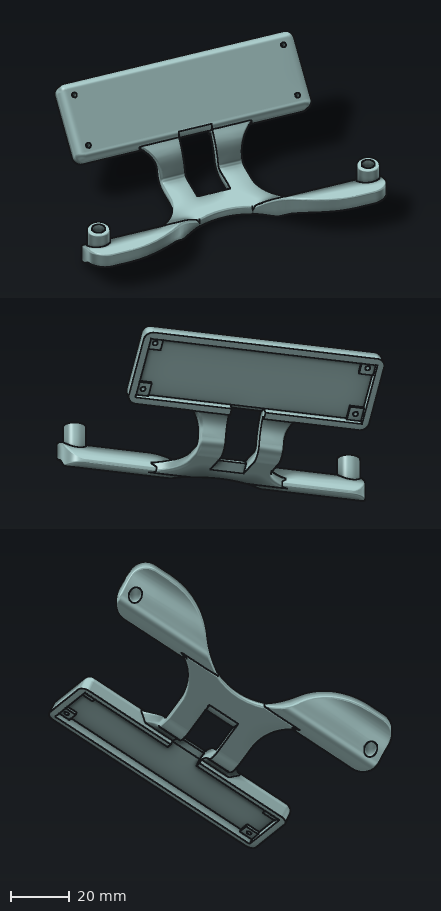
import cadquery as cq
import math

TOTAL_WIDTH = 107.94
TOTAL_LENGTH = 71.83
TOTAL_HEIGHT = 33.78
OVERLAP = 1.0

TRAY_TILT = 40.0
TRAY_LENGTH = 28.0
TRAY_WIDTH = 86.0
TRAY_DEPTH = 7.0
TRAY_ROUND = 3.0
TRAY_WALL = 2.5
CAVITY_DEPTH = 3.0
PAD_SIDE = 5.0
PAD_HEIGHT = 1.0
PIN_HOLE = 1.7

NECK_THICKNESS = 4.0
NECK_WIDTH = 30.0
EDGE_ROUND = 1.0
BEND_X = 32.5
BEND_RADIUS = 2.0
BEND_START = 12.0
RISER_RADIUS = 18.0
RISER_END = 45.0
FLARE_START_Z = 6.2
FLARE_RADIUS = 10.0
PLATE_SLOPE = 2.0
PLATE_STRAIGHT_END = 39.4
PLATE_END = 54.7
PLATE_ARC = 15.8

SLOT_WIDTH = 12.0
SLOT_START = 24.1
SLOT_NOSE_X = 41.4
SLOT_NOSE_Z = 2.9

WING_START = 52.8
WING_ROOT_X = 54.2
WING_ROOT_Y = 22.5
WING_INNER_CORNER = 6.5
WING_OUTER_CORNER = 6.5
WAIST_X = 52.8
WAIST_RADIUS = 25.0
WING_ARC = 30.0
WING_EDGE_ROUND = 0.8
WING_TOP_START = (52.0, 0.95)
WING_TOP_MIDDLE = (59.4, 9.9)
WING_TOP_END = (73.0, 13.85)
WING_BOTTOM_END = (73.0, 8.3)
WING_BOTTOM_KNEE = (60.4, 2.6)
WING_BOTTOM_FLAT_END = 56.6
WING_BOTTOM_Z = 1.0

POST_X = 61.7
POST_Y = 49.0
POST_DIAMETER = 8.0
POST_HOLE = 4.5
POST_TOP = 17.8
POST_BASE = 7.2
POST_RIM_ROUND = 0.5


def polar(center, radius, degrees):
    angle = math.radians(degrees)
    return (center[0] + radius * math.cos(angle), center[1] + radius * math.sin(angle))


tilt = math.radians(TRAY_TILT)
rim_z = (
    TOTAL_HEIGHT
    - TRAY_ROUND
    + TRAY_ROUND * math.sin(tilt)
    - (TRAY_DEPTH - TRAY_ROUND) * math.cos(tilt)
)
TRAY_PLANE = cq.Plane(
    origin=(0, 0, rim_z),
    xDir=(math.cos(tilt), 0, -math.sin(tilt)),
    normal=(math.sin(tilt), 0, math.cos(tilt)),
)


def tray_box(length, width, height, start=0.0, base=0.0):
    plane = cq.Workplane(TRAY_PLANE).workplane(offset=base).center(start + length / 2, 0)
    return plane.rect(length, width).extrude(height)


def nearest_edge(body, point):
    return body.edges(cq.selectors.NearestToPointSelector(point)).val()


def make_tray():
    frame = cq.Workplane("XY").center(TRAY_LENGTH / 2, 0)
    body = frame.rect(TRAY_LENGTH, TRAY_WIDTH).extrude(TRAY_DEPTH)
    body = body.edges("|Z or >Z").fillet(TRAY_ROUND)
    return cq.Workplane(body.val().moved(TRAY_PLANE.location))


def tray_corners():
    near = TRAY_WALL + PAD_SIDE / 2
    side = TRAY_WIDTH / 2 - near
    return [(x, y) for x in (near, TRAY_LENGTH - near) for y in (-side, side)]


def make_cavity():
    cavity = tray_box(
        TRAY_LENGTH - 2 * TRAY_WALL,
        TRAY_WIDTH - 2 * TRAY_WALL,
        CAVITY_DEPTH,
        start=TRAY_WALL,
    )
    pads = (
        cq.Workplane(TRAY_PLANE)
        .workplane(offset=CAVITY_DEPTH - PAD_HEIGHT)
        .pushPoints(tray_corners())
        .rect(PAD_SIDE, PAD_SIDE)
        .extrude(PAD_HEIGHT)
    )
    return cavity.cut(pads)


def make_pin_holes():
    return cq.Workplane(TRAY_PLANE).pushPoints(tray_corners()).circle(PIN_HOLE / 2).extrude(TRAY_DEPTH)


def make_riser():
    outer_bend = BEND_RADIUS + NECK_THICKNESS
    bend = (BEND_X, outer_bend)
    joint = 180 + BEND_START
    foot = 270 + PLATE_SLOPE
    middle = (joint + foot) / 2
    center = polar(bend, outer_bend + RISER_RADIUS, joint)
    outer_riser = RISER_RADIUS + NECK_THICKNESS
    sweep_middle = (BEND_START + RISER_END) / 2
    profile = (
        cq.Workplane("XZ", origin=(0, TRAY_WIDTH / 2, 0))
        .moveTo(*polar(center, RISER_RADIUS, RISER_END))
        .threePointArc(polar(center, RISER_RADIUS, sweep_middle), polar(bend, outer_bend, joint))
        .threePointArc(polar(bend, outer_bend, middle), polar(bend, outer_bend, foot))
        .lineTo(*polar(bend, BEND_RADIUS, foot))
        .threePointArc(polar(bend, BEND_RADIUS, middle), polar(bend, BEND_RADIUS, joint))
        .threePointArc(polar(center, outer_riser, sweep_middle), polar(center, outer_riser, RISER_END))
        .close()
        .extrude(TRAY_WIDTH)
    )
    half = NECK_WIDTH / 2
    flare_top = FLARE_START_Z + FLARE_RADIUS
    flare_half = half + FLARE_RADIUS
    outline = (
        cq.Workplane("YZ")
        .moveTo(-half, -OVERLAP)
        .lineTo(half, -OVERLAP)
        .lineTo(half, FLARE_START_Z)
        .radiusArc((flare_half, flare_top), FLARE_RADIUS)
        .lineTo(flare_half, TOTAL_HEIGHT)
        .lineTo(-flare_half, TOTAL_HEIGHT)
        .lineTo(-flare_half, flare_top)
        .radiusArc((-half, FLARE_START_Z), FLARE_RADIUS)
        .close()
        .extrude(TOTAL_LENGTH)
    )
    riser = profile.intersect(outline)
    edges = []
    for radius in (BEND_RADIUS, outer_bend):
        x, z = polar(bend, radius, middle)
        edges += [nearest_edge(riser, (x, side, z)) for side in (-half, half)]
    return riser.newObject(edges).fillet(EDGE_ROUND)


def waist_y(x):
    return math.sqrt(WAIST_RADIUS**2 - (WAIST_X + WAIST_RADIUS - x) ** 2)


def make_plate():
    bend = (BEND_X, BEND_RADIUS + NECK_THICKNESS)
    foot = 270 + PLATE_SLOPE
    bottom = polar(bend, BEND_RADIUS + NECK_THICKNESS, foot)
    top = polar(bend, BEND_RADIUS, foot)
    rise = math.tan(math.radians(PLATE_SLOPE))
    profile = (
        cq.Workplane("XZ", origin=(0, TRAY_WIDTH / 2, 0))
        .moveTo(*bottom)
        .lineTo(TOTAL_LENGTH, bottom[1] + (TOTAL_LENGTH - bottom[0]) * rise)
        .lineTo(TOTAL_LENGTH, top[1] + (TOTAL_LENGTH - top[0]) * rise)
        .lineTo(*top)
        .close()
        .extrude(TRAY_WIDTH)
    )
    half = NECK_WIDTH / 2
    run = PLATE_END - PLATE_STRAIGHT_END
    tip = half + PLATE_ARC - math.sqrt(PLATE_ARC**2 - run**2)
    notch = waist_y(PLATE_END)
    outline = (
        cq.Workplane("XY", origin=(0, 0, -OVERLAP))
        .moveTo(0, half)
        .lineTo(PLATE_STRAIGHT_END, half)
        .radiusArc((PLATE_END, tip), -PLATE_ARC)
        .lineTo(PLATE_END, notch)
        .threePointArc((WAIST_X, 0), (PLATE_END, -notch))
        .lineTo(PLATE_END, -tip)
        .radiusArc((PLATE_STRAIGHT_END, -half), -PLATE_ARC)
        .lineTo(0, -half)
        .close()
        .extrude(TOTAL_HEIGHT)
    )
    plate = profile.intersect(outline)
    past_bend = cq.selectors.BoxSelector(
        (BEND_X + OVERLAP, -TRAY_WIDTH, -OVERLAP), (TOTAL_LENGTH, TRAY_WIDTH, TOTAL_HEIGHT)
    )
    return plate.edges(past_bend).edges("not |Z").fillet(EDGE_ROUND)


def make_neck():
    return make_riser().union(make_plate())


def make_wing():
    end_y = TOTAL_WIDTH / 2
    outer_arc_x = TOTAL_LENGTH - WING_ARC
    waist_center_x = WAIST_X + WAIST_RADIUS
    gap = waist_center_x - outer_arc_x
    outer_arc_y = math.sqrt((WAIST_RADIUS + WING_ARC) ** 2 - gap**2)
    share = WAIST_RADIUS / (WAIST_RADIUS + WING_ARC)
    touch = (waist_center_x - gap * share, outer_arc_y * share)
    root = (WING_ROOT_X, waist_y(WING_ROOT_X))
    outline = (
        cq.Workplane("XY")
        .moveTo(WING_START, WING_ROOT_Y)
        .lineTo(*root)
        .radiusArc(touch, WAIST_RADIUS)
        .radiusArc((TOTAL_LENGTH, outer_arc_y), -WING_ARC)
        .lineTo(TOTAL_LENGTH, end_y - WING_OUTER_CORNER)
        .radiusArc((TOTAL_LENGTH - WING_OUTER_CORNER, end_y), -WING_OUTER_CORNER)
        .lineTo(WING_START + WING_INNER_CORNER, end_y)
        .radiusArc((WING_START, end_y - WING_INNER_CORNER), -WING_INNER_CORNER)
        .close()
        .extrude(TOTAL_HEIGHT)
    )
    profile = (
        cq.Workplane("XZ")
        .moveTo(*WING_TOP_START)
        .lineTo(WING_TOP_START[0], WING_BOTTOM_Z)
        .lineTo(WING_BOTTOM_FLAT_END, WING_BOTTOM_Z)
        .tangentArcPoint(WING_BOTTOM_KNEE, relative=False)
        .tangentArcPoint(WING_BOTTOM_END, relative=False)
        .lineTo(*WING_TOP_END)
        .threePointArc(WING_TOP_MIDDLE, WING_TOP_START)
        .close()
        .extrude(-TOTAL_WIDTH)
    )
    wing = profile.intersect(outline)
    edge_y = (outer_arc_y + end_y - WING_OUTER_CORNER) / 2
    upper_edge = nearest_edge(wing, (TOTAL_LENGTH, edge_y, WING_TOP_END[1]))
    lower_edge = nearest_edge(wing, (TOTAL_LENGTH, edge_y, WING_BOTTOM_END[1]))
    return wing.newObject([upper_edge, lower_edge]).fillet(WING_EDGE_ROUND)


def post_points():
    return [(POST_X, POST_Y), (POST_X, -POST_Y)]


def make_posts():
    base = cq.Workplane("XY", origin=(0, 0, POST_BASE)).pushPoints(post_points())
    posts = base.circle(POST_DIAMETER / 2).extrude(POST_TOP - POST_BASE)
    return posts.faces(">Z").edges().fillet(POST_RIM_ROUND)


def make_post_holes():
    return cq.Workplane("XY").pushPoints(post_points()).circle(POST_HOLE / 2).extrude(TOTAL_HEIGHT)


def make_slot():
    window_corner = TRAY_PLANE.toWorldCoords((TRAY_LENGTH - TRAY_WALL, 0, CAVITY_DEPTH))
    wall_foot = TRAY_PLANE.toWorldCoords((TRAY_LENGTH - TRAY_WALL, 0, 0))
    window_start = wall_foot.x - OVERLAP
    top_end = SLOT_NOSE_X + (TOTAL_HEIGHT - SLOT_NOSE_Z) * math.tan(tilt)
    bottom_end = SLOT_NOSE_X + (SLOT_NOSE_Z + OVERLAP) / math.tan(tilt)
    outline = [
        (window_start, -OVERLAP),
        (bottom_end, -OVERLAP),
        (SLOT_NOSE_X, SLOT_NOSE_Z),
        (top_end, TOTAL_HEIGHT),
        (SLOT_START, TOTAL_HEIGHT),
        (SLOT_START, window_corner.z),
        (window_start, window_corner.z),
    ]
    side = cq.Workplane("XZ", origin=(0, SLOT_WIDTH / 2, 0))
    return side.polyline(outline).close().extrude(SLOT_WIDTH)


neck = make_neck()
wing = make_wing()
result = make_tray().union(neck)
result = result.cut(make_cavity()).cut(make_pin_holes()).cut(make_slot())
result = result.union(wing).union(wing.mirror("XZ")).union(make_posts()).cut(make_post_holes())